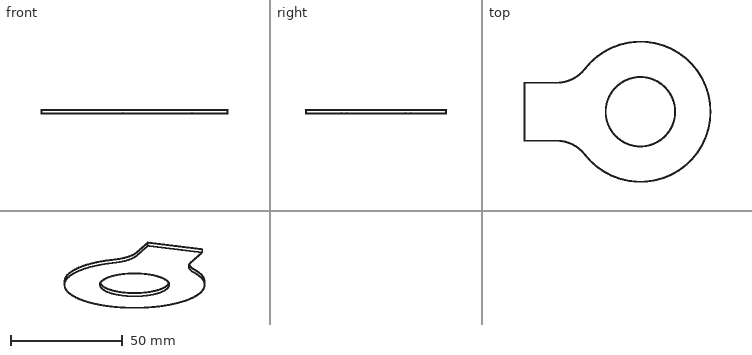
import cadquery as cq
import math

overall_length = 83.4
disc_diameter = 62.9
hole_diameter = 31.0
tab_width = 26.0
neck_radius = 16.0
thickness = 1.6

disc_radius = disc_diameter / 2
half_tab = tab_width / 2
tab_end_x = disc_radius - overall_length

neck_center_y = half_tab + neck_radius
center_distance = disc_radius + neck_radius
neck_center_x = -math.sqrt(center_distance**2 - neck_center_y**2)

join_ratio = disc_radius / center_distance
join_x = neck_center_x * join_ratio
join_y = neck_center_y * join_ratio

join_angle = math.atan2(-neck_center_y, -neck_center_x)
middle_angle = (join_angle - math.pi / 2) / 2
neck_middle_x = neck_center_x + neck_radius * math.cos(middle_angle)
neck_middle_y = neck_center_y + neck_radius * math.sin(middle_angle)

outline = (
    cq.Workplane("XY")
    .moveTo(tab_end_x, -half_tab)
    .lineTo(neck_center_x, -half_tab)
    .threePointArc((neck_middle_x, -neck_middle_y), (join_x, -join_y))
    .threePointArc((disc_radius, 0), (join_x, join_y))
    .threePointArc((neck_middle_x, neck_middle_y), (neck_center_x, half_tab))
    .lineTo(tab_end_x, half_tab)
    .close()
)

plate = outline.extrude(thickness)
result = plate.faces(">Z").workplane(origin=(0, 0, thickness)).hole(hole_diameter)